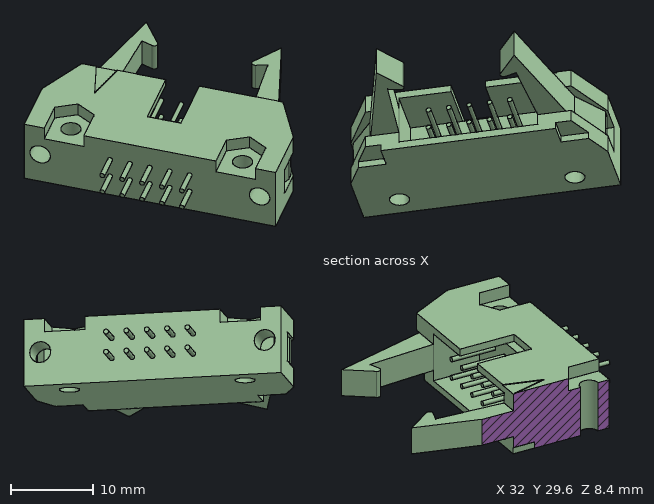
import cadquery as cq
import math


body_length = 32.0
body_depth = 13.45
body_height = 8.4
half_length = body_length / 2
mid_height = body_height / 2
shoulder_half_length = 12.8
shoulder_start = 7.3

cavity_half_length = 8.65
cavity_floor = 6.98
wall = 0.95
key_width = 4.25
key_floor = 5.85

pin_rows = 2
pin_columns = 5
pin_pitch = 2.53
pin_diameter = 0.6
pin_tail = 3.25
pin_end = 13.0

mount_x = 10.9
mount_y = 2.8
mount_diameter = 2.43
nut_width = 5.02
nut_depth = 1.65

latch_thickness = 3.6
latch_tip = (8.58, 26.37)
latch_outer_bend = (12.75, 11.2)
latch_foot_x = 15.68
latch_foot_top = 7.3
latch_foot_bottom = 6.4
latch_heel_x = 14.3
latch_seat = 3.7
hook_point = (5.25, 21.73)
hook_root = (8.0, 22.65)
hook_radius = 0.45

access_x = 13.95
access_diameter = 2.6

mark_x = 9.63
mark_width = 2.65
mark_length = 5.0
mark_depth = 0.1

relief_inner_x = 10.88
relief_start = 10.5
relief_height = 0.85


def box(x_start, x_end, y_start, y_end, z_start, z_end):
    """Box spanning the given ranges."""
    size = (x_end - x_start, y_end - y_start, z_end - z_start)
    return cq.Workplane("XY").box(*size, centered=False).translate((x_start, y_start, z_start))


def prism(points, z_start, height):
    """Closed XY outline extruded upward from z_start."""
    return cq.Workplane("XY").workplane(offset=z_start).polyline(points).close().extrude(height)


def cylinder_along_y(x, z, y_start, y_end, diameter):
    """Round bar parallel to Y."""
    axis_start = cq.Vector(x, y_start, z)
    bar = cq.Solid.makeCylinder(diameter / 2, y_end - y_start, axis_start, cq.Vector(0, 1, 0))
    return cq.Workplane(obj=bar)


def both_ends(right_half):
    """The +X feature together with its mirror image at -X."""
    return right_half.union(right_half.mirror("YZ"))


def housing():
    outline = [
        (-half_length, 0),
        (half_length, 0),
        (half_length, shoulder_start),
        (shoulder_half_length, body_depth),
        (-shoulder_half_length, body_depth),
        (-half_length, shoulder_start),
    ]
    return prism(outline, 0, body_height)


def mating_cavity():
    cavity = box(
        -cavity_half_length, cavity_half_length, cavity_floor, body_depth, wall, body_height - wall
    )
    key_slot = box(
        -key_width / 2, key_width / 2, key_floor, body_depth, body_height - wall, body_height
    )
    return cavity.union(key_slot)


def latch_slot():
    z_start = mid_height - latch_thickness / 2
    z_end = mid_height + latch_thickness / 2
    return box(cavity_half_length, half_length, latch_seat, body_depth, z_start, z_end)


def latch():
    outline = [
        latch_tip,
        latch_outer_bend,
        (latch_foot_x, latch_foot_top),
        (latch_foot_x, latch_foot_bottom),
        (latch_heel_x, latch_seat),
        (cavity_half_length, latch_seat),
        (cavity_half_length, body_depth),
        hook_root,
        hook_point,
    ]
    blank = prism(outline, mid_height - latch_thickness / 2, latch_thickness)
    hook_edge = cq.selectors.NearestToPointSelector((*hook_point, mid_height))
    return blank.edges("|Z").edges(hook_edge).fillet(hook_radius)


def mounting_cut():
    hole = (
        cq.Workplane("XY").center(mount_x, mount_y).circle(mount_diameter / 2).extrude(body_height)
    )
    half_width = nut_width / 2
    corner_radius = nut_width / math.sqrt(3)
    pocket_outline = [
        (mount_x - half_width, 0),
        (mount_x + half_width, 0),
        (mount_x + half_width, mount_y + corner_radius / 2),
        (mount_x, mount_y + corner_radius),
        (mount_x - half_width, mount_y + corner_radius / 2),
    ]
    return hole.union(prism(pocket_outline, body_height - nut_depth, nut_depth))


def access_hole():
    return cylinder_along_y(access_x, mid_height, 0, latch_seat, access_diameter)


def end_relief():
    return box(relief_inner_x, half_length, relief_start, body_depth, 0, relief_height)


def pin_one_mark():
    outline = [
        (-mark_x - mark_width / 2, body_depth),
        (-mark_x + mark_width / 2, body_depth),
        (-mark_x, body_depth - mark_length),
    ]
    return prism(outline, body_height - mark_depth, mark_depth)


result = housing().cut(mating_cavity())
result = result.cut(both_ends(latch_slot()))
result = result.cut(both_ends(end_relief()))
result = result.cut(pin_one_mark())
result = result.union(both_ends(latch()))
result = result.cut(both_ends(mounting_cut()))
result = result.cut(both_ends(access_hole()))

for column in range(pin_columns):
    for row in range(pin_rows):
        pin_x = (column - (pin_columns - 1) / 2) * pin_pitch
        pin_z = mid_height + (row - (pin_rows - 1) / 2) * pin_pitch
        result = result.union(cylinder_along_y(pin_x, pin_z, -pin_tail, pin_end, pin_diameter))